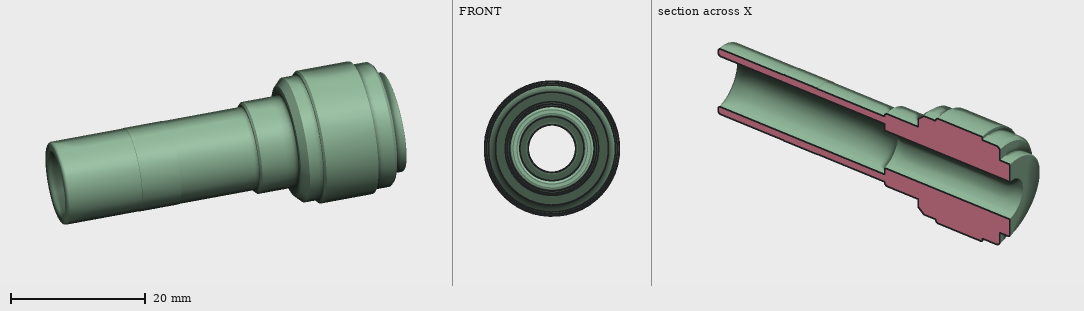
import cadquery as cq

LENGTH = 51.7
BAND_START = 11.55
BAND_END = 17.55
NECK_START = 29.5
BODY_START = 35.4
SLEEVE_START = 38.55
SLEEVE_END = 46.85
BODY_END = 50.0

STEM_RADIUS = 6.25
BAND_RADIUS = 6.3
NECK_RADIUS = 6.95
BODY_RADIUS = 9.4
SLEEVE_RADIUS = 10.005
BORE_RADIUS = 4.75
PASSAGE_RADIUS = 3.5

BUTTON_HALF_WIDTH = 8.2
BUTTON_HALF_HEIGHT = NECK_RADIUS
BUTTON_EDGE = 0.2

LIP_FILLET = 0.45
NECK_CHAMFER = 0.3
SLEEVE_CHAMFER = 0.3
BODY_FRONT_CHAMFER = 1.05
BODY_REAR_CHAMFER = 0.45

BORE_DEPTH = NECK_START


def plane_at(y):
    """XZ plane at the given Y, with its normal along +Y and local x along +X."""
    return cq.Plane(origin=(0, y, 0), xDir=(1, 0, 0), normal=(0, 1, 0))


def cylinder(radius, start, end):
    return cq.Workplane(plane_at(start)).circle(radius).extrude(end - start)


def stem():
    """Tube stem with a faint raised band, bevelled at its front edge, and a rounded inlet lip."""
    tube = cylinder(STEM_RADIUS, 0, NECK_START).faces("<Y").edges().fillet(LIP_FILLET)
    band = cylinder(BAND_RADIUS, BAND_START, BAND_END).faces("<Y").edges().chamfer(BAND_RADIUS - STEM_RADIUS)
    return tube.union(band)


def body():
    """Neck, chamfered body and the raised sleeve around it."""
    neck = cylinder(NECK_RADIUS, NECK_START, BODY_START).faces("<Y").chamfer(NECK_CHAMFER)
    barrel = cylinder(BODY_RADIUS, BODY_START, BODY_END)
    barrel = barrel.faces("<Y").chamfer(BODY_FRONT_CHAMFER).faces(">Y").chamfer(BODY_REAR_CHAMFER)
    sleeve = cylinder(SLEEVE_RADIUS, SLEEVE_START, SLEEVE_END).faces("<Y").chamfer(SLEEVE_CHAMFER)
    return neck.union(barrel).union(sleeve)


def release_button():
    button = cq.Workplane(plane_at(BODY_END)).ellipse(BUTTON_HALF_WIDTH, BUTTON_HALF_HEIGHT)
    return button.extrude(LENGTH - BODY_END).faces(">Y").edges().fillet(BUTTON_EDGE)


def cut_bores(solid):
    """Wide stem bore with a rounded mouth, then a narrower passage right through."""
    solid = solid.cut(cylinder(BORE_RADIUS, 0, BORE_DEPTH))
    solid = solid.faces("<Y").edges(cq.selectors.RadiusNthSelector(0)).fillet(LIP_FILLET)
    return solid.cut(cylinder(PASSAGE_RADIUS, 0, LENGTH))


result = cut_bores(stem().union(body()).union(release_button()))